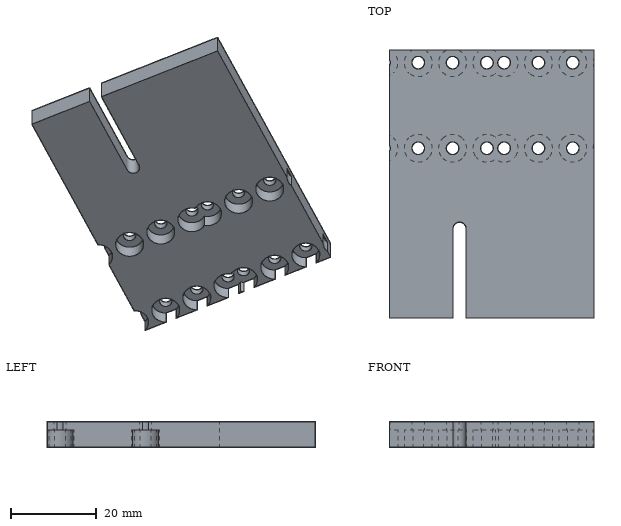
import cadquery as cq

width = 47.9
length = 62.7
thickness = 6.0

hole_diameter = 2.9
counterbore_diameter = 6.5
hole_floor = 2.0
counterbore_depth = thickness - hole_floor
holes_per_group = 4
hole_pitch = 8.0
group_gap = 4.0
outer_overhang = 1.25
pattern_center_x = (holes_per_group - 1) * hole_pitch + group_gap / 2 - outer_overhang
back_row_inset = 3.0
row_pitch = 20.0

slot_width = 3.0
slot_length = 22.4
slot_center_x = 16.4


def hole_centers():
    """Centers of all holes; the outermost ones lie just outside the plate."""
    back_row_y = length - back_row_inset
    centers = []
    for y in (back_row_y, back_row_y - row_pitch):
        for index in range(holes_per_group):
            offset = group_gap / 2 + index * hole_pitch
            centers.append((pattern_center_x - offset, y))
            centers.append((pattern_center_x + offset, y))
    return centers


def counterbored_hole(x, y):
    """Solid to remove for one through hole with its counterbore in the bottom face."""
    counterbore = cq.Workplane("XY").center(x, y).circle(counterbore_diameter / 2).extrude(counterbore_depth)
    return counterbore.faces(">Z").workplane().circle(hole_diameter / 2).extrude(hole_floor)


def slot():
    """Straight slot with a semicircular inner end."""
    radius = slot_width / 2
    straight_length = slot_length - radius
    return (
        cq.Workplane("XY")
        .moveTo(slot_center_x - radius, 0)
        .lineTo(slot_center_x - radius, straight_length)
        .threePointArc((slot_center_x, slot_length), (slot_center_x + radius, straight_length))
        .lineTo(slot_center_x + radius, 0)
        .close()
        .extrude(thickness)
    )


result = cq.Workplane("XY").box(width, length, thickness, centered=False).cut(slot())
for x, y in hole_centers():
    result = result.cut(counterbored_hole(x, y))